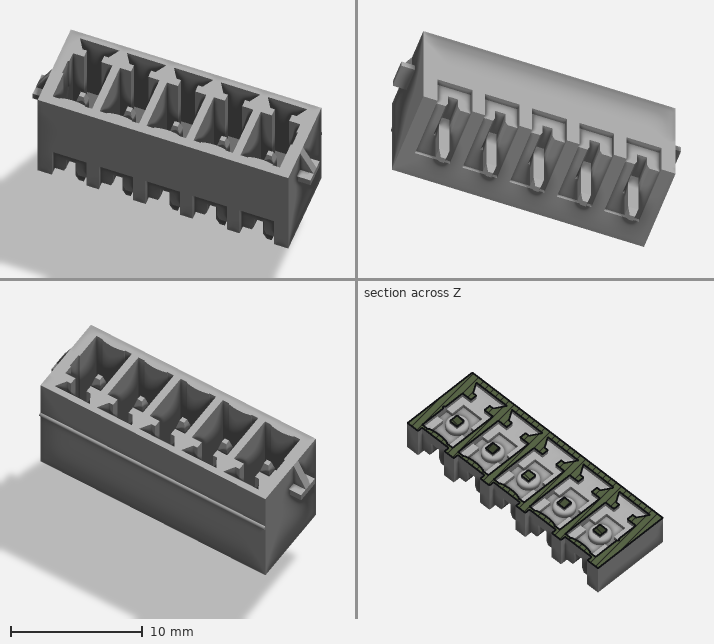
import cadquery as cq


pin_count = 5
pitch = 3.8
pin_columns = [(i - (pin_count - 1) / 2) * pitch for i in range(pin_count)]

overall_length = 22.55
tab_reach = 1.1
housing_length = overall_length - 2 * tab_reach
housing_depth = 7.0
housing_height = 9.2
front_y = -2.8
back_y = front_y + housing_depth

pin_width = 0.81
pin_tip_width = 0.4
pin_tip_length = 0.81
pin_bottom = -3.5
pin_top = 7.5

front_wall = 0.7
pocket_width = 3.2
pocket_depth = 4.3
pocket_front = front_y + front_wall
pocket_back = pocket_front + pocket_depth
ledge_z = 2.48
floor_z = 2.15
sunk_width = 2.0
sunk_back_gap = 0.5
sunk_band = 1.0
bulge_height = 0.2
bulge_step = 0.07

neck_width = 1.4
neck_depth = 0.6
dovetail_narrow = 2.12
dovetail_wide = pocket_width
dovetail_depth = 0.88

collar_diameter = 1.8
collar_round = 0.2
collar_height = 0.45

relief_depth = 0.11
relief_length = 1.22
relief_back_gap = 0.8
relief_ramp_rise = 3.38

notch_width = 2.8
notch_height = 3.0
notch_depth = 0.45
underside_recess = 0.34
slot_top = 1.8
flare_width = 1.17
flare_height = 0.45

tab_width = 1.92
tab_thickness = 0.6
tab_drop = 2.16
tab_top = housing_height - tab_drop
rib_width = 0.6

bead_radius = 0.18
bead_drop = 3.47
bead_z = housing_height - bead_drop


def box(x_size, y_range, z_range, x_center=0.0):
    """Block centred on x_center and spanning the given Y and Z ranges."""
    y_size = y_range[1] - y_range[0]
    z_size = z_range[1] - z_range[0]
    block = cq.Workplane("XY").box(x_size, y_size, z_size, centered=(True, False, False))
    return block.translate((x_center, y_range[0], z_range[0]))


def side_tab():
    """Tab and rib on the +X end of the housing."""
    wall_x = housing_length / 2
    tip_x = overall_length / 2
    tab = box(
        tab_reach,
        (-tab_width / 2, tab_width / 2),
        (tab_top - tab_thickness, tab_top),
        (wall_x + tip_x) / 2,
    )
    rib = (
        cq.Workplane("XZ")
        .polyline([(wall_x, housing_height), (tip_x, tab_top), (wall_x, tab_top)])
        .close()
        .extrude(rib_width / 2, both=True)
    )
    return tab.union(rib)


def back_bead():
    """Half-round bead along the whole back face."""
    return (
        cq.Workplane("YZ")
        .center(back_y, bead_z)
        .circle(bead_radius)
        .extrude(housing_length / 2, both=True)
    )


def pocket_cutter():
    """Space for one plug: pocket, keyway and the sunk cross in the floor."""
    half_pocket = pocket_width / 2
    half_bulge = sunk_width / 2
    half_neck = neck_width / 2
    half_narrow = dovetail_narrow / 2
    half_wide = dovetail_wide / 2
    neck_back = pocket_back + neck_depth
    dovetail_back = neck_back + dovetail_depth
    outline = (
        cq.Workplane("XY", origin=(0, 0, floor_z))
        .moveTo(-half_pocket, pocket_front)
        .lineTo(-half_bulge, pocket_front)
        .lineTo(-half_bulge, pocket_front + bulge_step)
        .threePointArc((0, pocket_front + bulge_height), (half_bulge, pocket_front + bulge_step))
        .lineTo(half_bulge, pocket_front)
        .lineTo(half_pocket, pocket_front)
        .lineTo(half_pocket, pocket_back)
        .lineTo(half_neck, pocket_back)
        .lineTo(half_neck, neck_back)
        .lineTo(half_narrow, neck_back)
        .lineTo(half_wide, dovetail_back)
        .lineTo(-half_wide, dovetail_back)
        .lineTo(-half_narrow, neck_back)
        .lineTo(-half_neck, neck_back)
        .lineTo(-half_neck, pocket_back)
        .lineTo(-half_pocket, pocket_back)
        .close()
        .extrude(housing_height - floor_z)
    )
    above_ledge = box(pocket_width, (front_y, back_y), (ledge_z, housing_height))
    sunk_middle = box(sunk_width, (front_y, pocket_back - sunk_back_gap), (floor_z, ledge_z))
    sunk_arms = box(pocket_width, (-sunk_band / 2, sunk_band / 2), (floor_z, ledge_z))
    return outline.intersect(above_ledge.union(sunk_middle).union(sunk_arms))


def collar():
    """Collar that rises from the pocket floor around a pin."""
    return (
        cq.Workplane("XY", origin=(0, 0, floor_z))
        .circle(collar_diameter / 2)
        .extrude(collar_height)
        .faces(">Z")
        .edges()
        .fillet(collar_round)
    )


def foot_cutter():
    """Front notch, recessed underside and flared pin slot below one pocket."""
    notch_back = front_y + notch_depth
    notch = box(notch_width, (front_y, notch_back), (0, notch_height))
    recess = box(notch_width, (notch_back, pocket_back), (0, underside_recess))
    half_slot = pin_width / 2
    half_flare = flare_width / 2
    flare_top = underside_recess + flare_height
    slot_back = pin_width / 2
    slot = (
        cq.Workplane("XZ", origin=(0, slot_back, 0))
        .moveTo(-half_flare, underside_recess)
        .lineTo(half_flare, underside_recess)
        .lineTo(half_slot, flare_top)
        .lineTo(half_slot, slot_top)
        .lineTo(-half_slot, slot_top)
        .lineTo(-half_slot, flare_top)
        .close()
        .extrude(slot_back - notch_back)
    )
    return notch.union(recess).union(slot)


def relief_cutter():
    """Shallow relief in both end walls of the row, open at the top, with a steep ramp as its floor."""
    wall_x = pin_columns[-1] + pocket_width / 2
    relief_back = pocket_back - relief_back_gap
    relief_front = relief_back - relief_length
    cutter = (
        cq.Workplane("YZ", origin=(wall_x, 0, 0))
        .moveTo(relief_front, ledge_z)
        .lineTo(relief_back, ledge_z + relief_ramp_rise)
        .lineTo(relief_back, housing_height)
        .lineTo(relief_front, housing_height)
        .close()
        .extrude(relief_depth)
    )
    return cutter.union(cutter.mirror("YZ"))


def make_housing():
    body = box(housing_length, (front_y, back_y), (0, housing_height))
    tab = side_tab()
    body = body.union(tab).union(tab.mirror("YZ")).union(back_bead())
    body = body.cut(relief_cutter())
    half_pin = pin_width / 2
    pin_hole = box(pin_width, (-half_pin, half_pin), (0, housing_height))
    cutter = pocket_cutter().cut(collar()).union(foot_cutter()).union(pin_hole)
    for x in pin_columns:
        body = body.cut(cutter.translate((x, 0, 0)))
    return body


def pin_tip(base_z, direction):
    """Tapered square end that starts at base_z and points up (1) or down (-1)."""
    return (
        cq.Workplane("XY", origin=(0, 0, base_z))
        .rect(pin_width, pin_width)
        .workplane(offset=direction * pin_tip_length)
        .rect(pin_tip_width, pin_tip_width)
        .loft(ruled=True)
    )


def make_pin(x):
    """Straight square pin tapered at both ends."""
    half_pin = pin_width / 2
    shank_bottom = pin_bottom + pin_tip_length
    shank_top = pin_top - pin_tip_length
    shank = box(pin_width, (-half_pin, half_pin), (shank_bottom, shank_top))
    pin = shank.union(pin_tip(shank_top, 1)).union(pin_tip(shank_bottom, -1))
    return pin.translate((x, 0, 0))


housing = make_housing()
pins = [make_pin(x).solids().val() for x in pin_columns]

result = cq.Compound.makeCompound([housing.solids().val(), *pins])